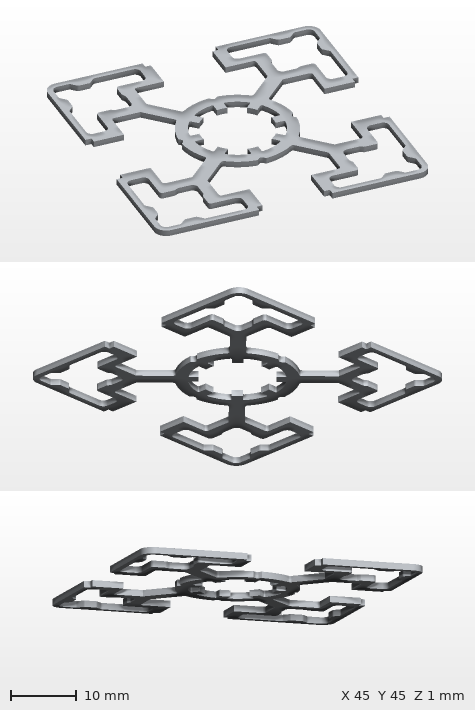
import cadquery as cq
import math

side = 45.0
thickness = 1.0
half_side = side / 2

mouth_half_width = 5.1
rebate_half_width = 6.05
rebate_depth = 1.0
slot_half_width = 10.0
lip_thickness = 6.0
lip_inner = half_side - lip_thickness
slot_corner_radius = 0.45
outer_corner_radius = 2.0

web_width = 2.48
web_offset = web_width / math.sqrt(2)

wall = 1.0
hollow_outer = half_side - wall
hollow_end = 7.15
hollow_arm_inner = 18.0
hollow_step_outer = 12.38
hollow_step_inner = 12.0
step_start = 15.6
step_end = 15.0
hollow_corner_radius = 1.0
hollow_end_radius = 0.9
hollow_elbow_radius = 0.5
step_radius = 0.45

bump_inset = 6.0
bump_center = half_side - bump_inset
bump_height = 1.0
bump_base_half = 2.0
bump_top_half = 1.0
bump_radius = 0.45

ring_outer_radius = 9.5
ring_inner_radius = 7.5
ring_web_radius = 0.45
notch_half_width = 0.7
notch_floor_radius = 0.55
tab_count = 8
tab_tip_radius = 6.0
tab_width = 1.7
tab_root_radius = 0.22


def rounded_prism(corners):
    """Extrude a polygon of (x, y, radius) corners, rounding each corner by its radius."""
    stretches = []
    for i, (x, y, radius) in enumerate(corners):
        corner = cq.Vector(x, y)
        before = cq.Vector(*corners[i - 1][:2])
        after = cq.Vector(*corners[(i + 1) % len(corners)][:2])
        if radius == 0:
            stretches.append([corner])
            continue
        to_before = (before - corner).normalized()
        to_after = (after - corner).normalized()
        half_angle = to_before.getAngle(to_after) / 2
        setback = radius / math.tan(half_angle)
        arc_gap = radius / math.sin(half_angle) - radius
        bisector = (to_before + to_after).normalized()
        stretches.append(
            [corner + to_before * setback, corner + bisector * arc_gap, corner + to_after * setback]
        )

    outline = cq.Workplane("XY").moveTo(*stretches[0][-1].toTuple()[:2])
    for stretch in stretches[1:] + stretches[:1]:
        points = [p.toTuple()[:2] for p in stretch]
        outline = outline.lineTo(*points[0])
        if len(points) > 1:
            outline = outline.threePointArc(points[1], points[2])
    return outline.close().extrude(thickness)


def mirrored(half_outline):
    """The other half of an outline that is symmetric about the X = Y diagonal."""
    return [(y, x, radius) for x, y, radius in reversed(half_outline)]


def corner_body():
    """One corner of the profile with its web, which starts inside the ring wall."""
    web_start = (ring_outer_radius + ring_inner_radius) / 2 / math.sqrt(2)
    half_outline = [
        (web_start + web_offset / 2, web_start - web_offset / 2, 0),
        (slot_half_width + web_offset, slot_half_width, 0),
        (lip_inner, slot_half_width, slot_corner_radius),
        (lip_inner, mouth_half_width, 0),
        (half_side - rebate_depth, mouth_half_width, 0),
        (half_side - rebate_depth, rebate_half_width, 0),
        (half_side, rebate_half_width, 0),
    ]
    outer_corner = (half_side, half_side, outer_corner_radius)
    return rounded_prism(half_outline + [outer_corner] + mirrored(half_outline))


def corner_hollow():
    """L-shaped hollow of one corner, with a bump on each outer wall."""
    bump_top = hollow_outer - bump_height
    inner_corner = (hollow_step_inner, hollow_step_inner, hollow_end_radius)
    half_outline = [
        (hollow_step_inner, step_end, step_radius),
        (hollow_step_outer, step_start, step_radius),
        (hollow_step_outer, hollow_arm_inner, hollow_elbow_radius),
        (hollow_end, hollow_arm_inner, hollow_end_radius),
        (hollow_end, hollow_outer, hollow_end_radius),
        (bump_center - bump_base_half, hollow_outer, bump_radius),
        (bump_center - bump_top_half, bump_top, bump_radius),
        (bump_center + bump_top_half, bump_top, bump_radius),
        (bump_center + bump_base_half, hollow_outer, bump_radius),
    ]
    outer_corner = (hollow_outer, hollow_outer, hollow_corner_radius)
    return rounded_prism([inner_corner] + half_outline + [outer_corner] + mirrored(half_outline))


def spun(body, angle):
    """Turn a body about the Z axis by an angle in degrees."""
    return body.rotate((0, 0, 0), (0, 0, 1), angle)


def disc(radius):
    """Disc of the profile's thickness on the Z axis."""
    return cq.Workplane("XY").circle(radius).extrude(thickness)


def ring_bore():
    """Bore of the ring, leaving evenly spaced tabs that point inwards."""
    tab_pair = cq.Workplane("XY").rect(2 * ring_outer_radius, tab_width).extrude(thickness)
    gaps = disc(ring_inner_radius)
    for i in range(tab_count // 2):
        gaps = gaps.cut(spun(tab_pair, i * 360 / tab_count))
    return gaps.edges("|Z").fillet(tab_root_radius).union(disc(tab_tip_radius))


def ring_notch():
    """Right-angled V notch with a rounded floor in the outside of the ring, on the +X axis."""
    mouth_x = ring_outer_radius + notch_half_width
    mouth_y = 2 * notch_half_width
    return rounded_prism([
        (ring_outer_radius - notch_half_width, 0, notch_floor_radius),
        (mouth_x, -mouth_y, 0),
        (mouth_x, mouth_y, 0),
    ])


quarter_turns = [0, 90, 180, 270]
profile = disc(ring_outer_radius)
for angle in quarter_turns:
    profile = profile.union(spun(corner_body(), angle))
ring_zone = cq.selectors.BoxSelector(
    (-ring_outer_radius, -ring_outer_radius, -thickness),
    (ring_outer_radius, ring_outer_radius, 2 * thickness),
)
profile = profile.edges("|Z").edges(ring_zone).fillet(ring_web_radius)

for angle in quarter_turns:
    profile = profile.cut(spun(corner_hollow(), angle))
    profile = profile.cut(spun(ring_notch(), angle))

result = profile.cut(ring_bore())